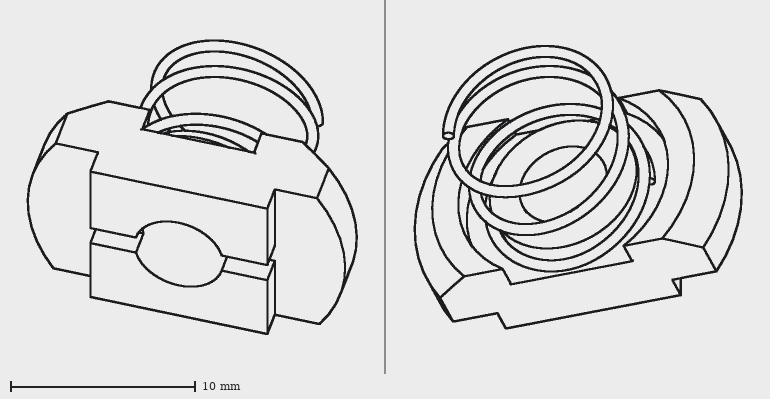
import cadquery as cq
import math


nut_length = 17.95
nut_radius = nut_length / 2
height_above_axis = 5.1
height_below_axis = 4.9
nut_height = height_above_axis + height_below_axis
tongue_width = nut_height
tongue_depth = 1.49
nut_depth = 5.3
chamfer = 1.49
bore_radius = 2.5
slot_height = 1.2

recess_radius = 6.0
recess_depth = 1.49
boss_radius = 4.2
recess_floor = nut_depth - recess_depth

overall_depth = 11.8
spring_outer_radius = 4.85
wire_radius = 0.3
coil_radius = spring_outer_radius - wire_radius
active_turns = 2
flat_angle = 270.0
rise = overall_depth - recess_floor - 2 * wire_radius
blend_angle = 20.0
angle_step = 10.0
FULL_TURN = 360.0


def disc(radius, y_start, y_end):
    """Cylinder on the Y axis between two Y positions."""
    return cq.Workplane("XZ", origin=(0, y_start, 0)).circle(radius).extrude(y_start - y_end)


def block(width, z_low, z_high, y_start, y_end):
    """Box centred in X between the given Z and Y limits."""
    corner = (-width / 2, y_start, z_low)
    size = (width, y_end - y_start, z_high - z_low)
    return cq.Workplane("XY", origin=corner).box(*size, centered=False)


def make_nut():
    plate = disc(nut_radius, tongue_depth, nut_depth).faces(">Y").chamfer(chamfer)
    plate = plate.intersect(
        block(nut_length, -height_below_axis, height_above_axis, tongue_depth, nut_depth)
    )

    tongue = block(tongue_width, -height_below_axis, height_above_axis, 0, tongue_depth)
    slot = block(tongue_width, -slot_height / 2, slot_height / 2, 0, tongue_depth)
    nut = plate.union(tongue.cut(slot))

    recess = disc(recess_radius, recess_floor, nut_depth).cut(disc(boss_radius, recess_floor, nut_depth))
    return nut.cut(recess).cut(disc(bore_radius, 0, nut_depth))


def ramp(angle):
    """Zero before angle 0 and equal to the angle after it, with the corner rounded by a parabola."""
    if abs(angle) < blend_angle:
        return (angle + blend_angle) ** 2 / (4 * blend_angle)
    return max(angle, 0)


def path_point(angle):
    """Wire centre at an angle in degrees: flat, then climbing over the active turns, then flat."""
    active_angle = active_turns * FULL_TURN
    height = rise * (ramp(angle) - ramp(angle - active_angle)) / active_angle
    turn = math.radians(angle)
    return cq.Vector(coil_radius * math.cos(turn), coil_radius * math.sin(turn), height)


def make_spring():
    total_angle = active_turns * FULL_TURN + 2 * flat_angle
    steps = round(total_angle / angle_step)
    points = [path_point(i * angle_step - flat_angle) for i in range(steps + 1)]
    path = cq.Wire.assembleEdges([cq.Edge.makeSpline(points)])

    section = cq.Plane(
        origin=path.startPoint(), xDir=(0, 0, 1), normal=path.tangentAt(0)
    )
    spring = cq.Workplane(section).circle(wire_radius).sweep(path)

    return (
        spring.rotate((0, 0, 0), (0, 0, 1), 90)
        .rotate((0, 0, 0), (1, 0, 0), -90)
        .translate((0, recess_floor + wire_radius, 0))
    )


nut = make_nut()
spring = make_spring()
result = cq.Compound.makeCompound([nut.val(), spring.val()])